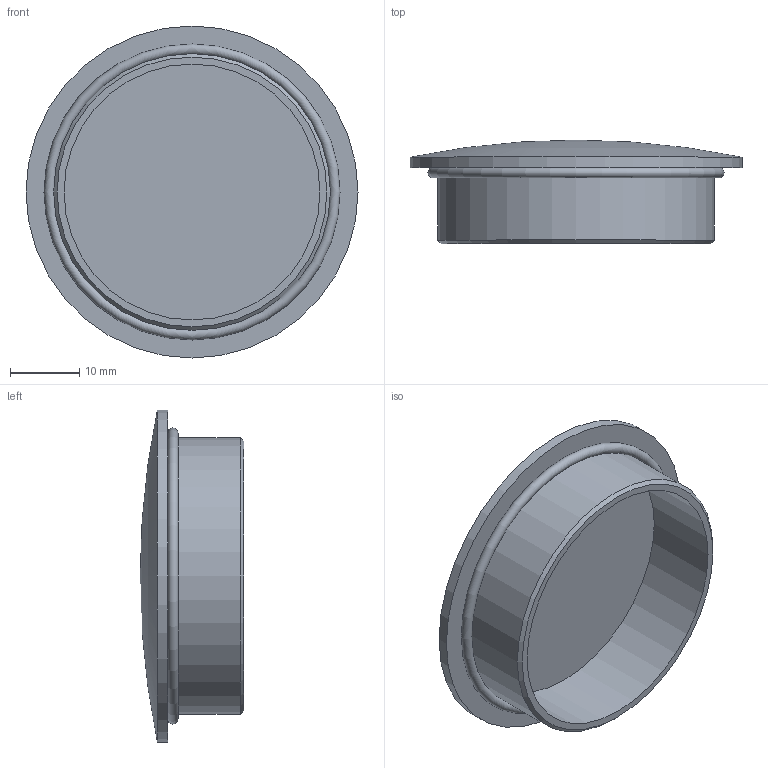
import cadquery as cq

flange_radius = 24.0
flange_thickness = 1.5
dome_height = 2.47

skirt_radius = 20.0
skirt_inner_radius = 18.5
skirt_length = 11.0
rim_chamfer = 0.5
cavity_depth = 11.0

bead_radius = 0.75
bead_outer_radius = 21.4
bead_center_radius = bead_outer_radius - bead_radius

axis_start = (0, 0)
axis_end = (0, 1)


def half_section():
    """Sketch plane whose first coordinate is the radius and whose second is Y."""
    return cq.Workplane("ZY")


def revolve_about_y(profile):
    """Turn a closed profile, drawn as (radius, Y), all the way round the Y axis."""
    return profile.revolve(360, axis_start, axis_end)


def domed_flange():
    """Flat-bottomed disc with a spherical cap on top."""
    dome_top = flange_thickness + dome_height
    sphere_radius = (flange_radius**2 + dome_height**2) / (2 * dome_height)
    mid_radius = flange_radius / 2
    mid_height = dome_top - sphere_radius + (sphere_radius**2 - mid_radius**2) ** 0.5
    profile = (
        half_section()
        .lineTo(flange_radius, 0)
        .lineTo(flange_radius, flange_thickness)
        .threePointArc((mid_radius, mid_height), (0, dome_top))
        .close()
    )
    return revolve_about_y(profile)


def skirt():
    """Plain cylinder below the flange, chamfered around its outer lower edge."""
    profile = (
        half_section()
        .lineTo(skirt_radius, 0)
        .lineTo(skirt_radius, rim_chamfer - skirt_length)
        .lineTo(skirt_radius - rim_chamfer, -skirt_length)
        .lineTo(0, -skirt_length)
        .close()
    )
    return revolve_about_y(profile)


def snap_bead():
    """Round-nosed retaining bead, solid against both the skirt and the flange underside."""
    root_offset = bead_center_radius - skirt_radius
    root_y = -bead_radius - (bead_radius**2 - root_offset**2) ** 0.5
    profile = (
        half_section()
        .lineTo(bead_center_radius, 0)
        .threePointArc((bead_outer_radius, -bead_radius), (skirt_radius, root_y))
        .lineTo(0, root_y)
        .close()
    )
    return revolve_about_y(profile)


def cavity():
    """Blind cylindrical hollow, open at the lower end of the skirt."""
    return (
        cq.Workplane("XZ", origin=(0, -skirt_length, 0))
        .circle(skirt_inner_radius)
        .extrude(-cavity_depth)
    )


result = domed_flange().union(skirt()).union(snap_bead()).cut(cavity())